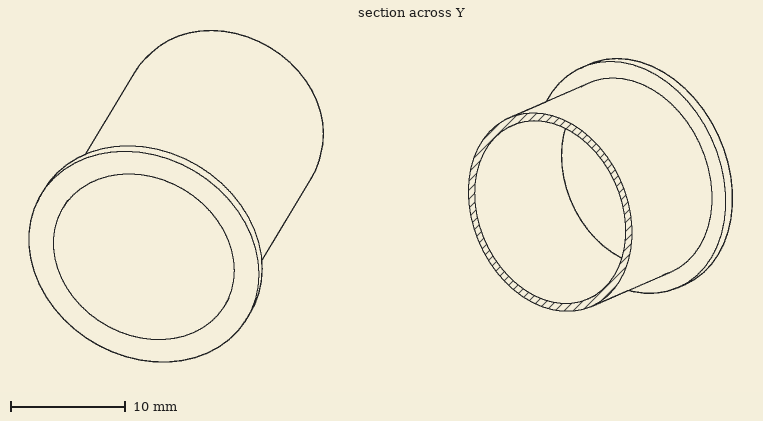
import cadquery as cq

length = 25.0
flange_diameter = 21.0
flange_thickness = 1.0
body_diameter = 18.0
bore_diameter = 16.5
taper_length = 1.0
taper_depth = 0.18

flange_radius = flange_diameter / 2
body_radius = body_diameter / 2
bore_radius = bore_diameter / 2

half_section = (
    cq.Workplane("XY")
    .moveTo(bore_radius, 0)
    .lineTo(flange_radius, 0)
    .lineTo(flange_radius, flange_thickness)
    .lineTo(body_radius, flange_thickness)
    .lineTo(body_radius, length - taper_length)
    .lineTo(body_radius - taper_depth, length)
    .lineTo(bore_radius, length)
    .close()
)

result = half_section.revolve(360, (0, 0, 0), (0, 1, 0))